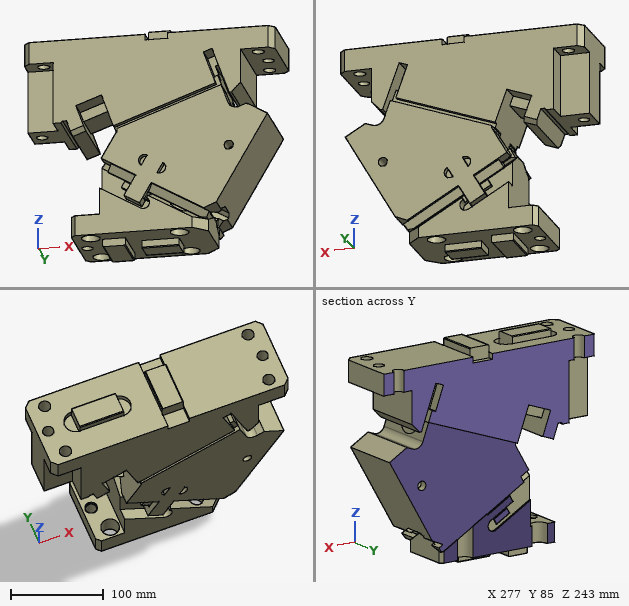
import cadquery as cq
import math


WIDTH = 85.0
HALF_WIDTH = WIDTH / 2
OVERSIZE = 400.0

KEY_WIDTH = 25.0
KEY_LENGTH = 50.0
KEY_HEIGHT = 8.5
KEY_BEVEL = 1.0

HOUSING_LENGTH = 277.0
HOUSING_TOP = 226.0
FLANGE_THICKNESS = 25.0
FLANGE_BOTTOM = HOUSING_TOP - FLANGE_THICKNESS
FLANGE_CHAMFER = 6.5
HOUSING_BOTTOM = 131.0
LEG_DEPTH = 33.0
LEG_WIDTH = 36.0
BODY_END_X = 240.0
BODY_END_Z = 163.0
NOSE_RIGHT_X = 230.0
NOSE_BOTTOM = 152.6
CROSS_KEY_X = 147.0
LONG_KEY_X = 69.5
LONG_KEY_LENGTH = 51.0
KEY_SEAT_DEPTH = 6.5
KEY_SEAT_LENGTH = 76.5
BOLT_SPACING = 60.0
HOUSING_BOLT_DIAMETER = 13.0
DOWEL_DIAMETER = 12.0
HOUSING_BOLT_X = (20.0, HOUSING_LENGTH - 20.0)
HOUSING_DOWEL_X = (12.0, HOUSING_LENGTH - 15.0)

SLIDE_ANGLE = 20.0
SLIDE_ORIGIN = (101.0, 0, 119.0)
SLIDE_LENGTH = 125.0
SIDE_RELIEF_DEPTH = 5.5
SIDE_RELIEF_HEIGHT = 4.5
SIDE_RELIEF_END = 5.0
SLOT_CORE_HALF = 20.0
SLOT_END_U = SLIDE_LENGTH + 5.0
SLOT_TOP_W = 32.0
FLANK_SLOT_TOP_W = 43.3
WALL_STEP_W = 14.0
HOOK_INNER_U = -30.0
HOOK_OUTER_U = -45.5
HOOK_BOTTOM_W = 13.5
HOOK_CHAMFER = 5.0
HOOK_RELIEF_WIDTH = 6.0
HOOK_RELIEF_HEIGHT = 2.0
RAIL_RADIUS = 17.0
RAIL_W = -2.3

RAMP_ANGLE = 30.0
RAMP_ORIGIN = (86.0, 0, 87.0)
ROOF_FLAT_HALF = 10.0
ROOF_RIDGE_N = 4.2
ROOF_SLOPE = math.tan(math.radians(30))

CAM_LENGTH = 140.0
CAM_TOP_N = 125.0
CAM_LEFT_TOP_N = 34.5
CAM_NOTCH_W = -31.5
CAM_NOTCH_RADIUS = 10.0
CAM_TAIL_START = (131.0, 0.0)
CAM_TAIL_N = 12.0
CAM_LIP = 2.5
V_RELIEF = 6.5
GROOVE_LIFT = 14.0
GROOVE_BOTTOM = (13.2, 7.5)
GROOVE_TOP = (16.5, 14.7)
PAD_START_S = 12.0
PAD_END_S = 137.0
PAD_DEPTH = 9.0
PAD_BOTTOM_HALF = 35.0
PAD_TOP_HALF = 39.5
PAD_END_CHAMFER = (7.0, 2.5)
STRAP_START_S = 44.0
STRAP_WIDTH = 20.0
STRAP_END_N = -26.0
STRAP_THICKNESS = 6.5
STRAP_FOOT_DEPTH = 12.5
STRAP_FOOT_TOP_N = -18.5
STRAP_SEAT_N = 19.0
STRAP_SEAT_RADIUS = 6.3
TAPPED_HOLE_X = 227.0
TAPPED_HOLE_Z = 92.0
TAPPED_HOLE_DIAMETER = 10.0
TAPPED_HOLE_DEPTH = 20.0

BASE_LEFT = 52.0
BASE_RIGHT = 201.6
BLOCK_LEFT = 84.0
FOOT_HEIGHT = 23.0
FOOT_CHAMFER = 5.0
BASE_END_CHAMFER = 15.0
BASE_CROSS_KEY_X = BLOCK_LEFT + KEY_WIDTH / 2
BASE_LONG_KEY_X = 145.3
BASE_LONG_KEY_LENGTH = 41.0
BASE_BOLT_DIAMETER = 20.0
BASE_BOLT_X = (72.0, 170.0)
BASE_DOWEL_X = 62.0
DOWEL_RECESS_DIAMETER = 13.3
DOWEL_RECESS_DEPTH = 3.0
POCKET_HALF = 29.4
POCKET_FLOOR_N = -30.5
POCKET_END_S = 68.0
POCKET_END_RADIUS = 6.5
LUG_HALF = 34.5
LUG_START_S = 34.0
LUG_BOTTOM_N = -17.5


def slide_plane(y=0.0):
    """Plane at the given Y whose local axes are U and W; its normal is -Y."""
    angle = math.radians(SLIDE_ANGLE)
    origin = (SLIDE_ORIGIN[0], y, SLIDE_ORIGIN[2])
    return cq.Plane(origin, (math.cos(angle), 0, math.sin(angle)), (0, -1, 0))


def ramp_plane(y=0.0):
    """Plane at the given Y whose local axes are S and N; its normal is -Y."""
    angle = math.radians(RAMP_ANGLE)
    origin = (RAMP_ORIGIN[0], y, RAMP_ORIGIN[2])
    return cq.Plane(origin, (math.cos(angle), 0, -math.sin(angle)), (0, -1, 0))


def in_xz(plane, point):
    """X and Z of a point given in a plane's local axes."""
    world = plane.toWorldCoords(point)
    return (world.x, world.z)


def prism(plane, points, width=WIDTH):
    """Polygon extruded to the given width, centred on Y = 0."""
    return cq.Workplane(plane).polyline(points).close().extrude(width / 2, both=True)


def corners(left, bottom, right, top):
    return [(left, bottom), (right, bottom), (right, top), (left, top)]


def both_flanks(shape):
    """The shape together with its mirror image across the symmetry plane."""
    return shape.union(shape.mirror("XZ"))


def flank_prism(plane_at, points, inner_y):
    """Polygon extruded on both flanks, from inner_y out to the part's sides."""
    depth = HALF_WIDTH - inner_y
    return both_flanks(cq.Workplane(plane_at(-inner_y)).polyline(points).close().extrude(depth))


def key(length_x, length_y, center_x, bottom, height, outer_face):
    """Locating key with the long edges of its outer face bevelled."""
    block = cq.Workplane("XY", origin=(center_x, 0, bottom)).rect(length_x, length_y).extrude(height)
    long_edges = "|X" if length_x > length_y else "|Y"
    return block.faces(outer_face).edges(long_edges).chamfer(KEY_BEVEL)


def vertical_holes(diameter, points):
    drill = cq.Workplane("XY").pushPoints(points).circle(diameter / 2)
    return drill.extrude(OVERSIZE, both=True)


def bolt_points(x_places):
    return [(x, side * BOLT_SPACING / 2) for x in x_places for side in (-1, 1)]


def slide_rail(start_u, end_u):
    """Round rail along the slide, centred a little below the joint."""
    start = slide_plane().toWorldCoords((start_u, RAIL_W))
    section = cq.Plane(start, (0, 1, 0), slide_plane().xDir)
    return cq.Workplane(section).circle(RAIL_RADIUS).extrude(end_u - start_u)


def roof_prism(lift, start_s, end_s):
    """Roof-shaped solid lying along the ramp, raised by the given lift."""
    start = ramp_plane().toWorldCoords((start_s, 0))
    section = cq.Plane(start, (0, 1, 0), ramp_plane().xDir)
    ridge = ROOF_RIDGE_N + lift
    eave_half = HALF_WIDTH + V_RELIEF
    eave = ridge - ROOF_SLOPE * (eave_half - ROOF_FLAT_HALF)
    points = [
        (-eave_half, -OVERSIZE),
        (eave_half, -OVERSIZE),
        (eave_half, eave),
        (ROOF_FLAT_HALF, ridge),
        (-ROOF_FLAT_HALF, ridge),
        (-eave_half, eave),
    ]
    return cq.Workplane(section).polyline(points).close().extrude(end_s - start_s)


def make_housing():
    slide = slide_plane()
    flange = (
        cq.Workplane("XY", origin=(HOUSING_LENGTH / 2, 0, FLANGE_BOTTOM))
        .rect(HOUSING_LENGTH, WIDTH)
        .extrude(FLANGE_THICKNESS)
        .edges("|Z")
        .chamfer(FLANGE_CHAMFER)
    )
    leg = cq.Workplane("XY").box(
        LEG_DEPTH, LEG_WIDTH, FLANGE_BOTTOM - HOUSING_BOTTOM, centered=(False, True, False)
    ).translate((0, 0, HOUSING_BOTTOM))

    slide_tan = math.tan(math.radians(SLIDE_ANGLE))
    hook_root = in_xz(slide, (HOOK_OUTER_U, 0))
    hook_root_z = HOUSING_BOTTOM + HOOK_RELIEF_HEIGHT
    hook_root_x = hook_root[0] - (hook_root_z - hook_root[1]) * slide_tan
    relief_left_x = hook_root_x - HOOK_RELIEF_WIDTH
    nose_root = in_xz(slide, (SLOT_END_U, 0))
    nose_left_x = nose_root[0] - (NOSE_BOTTOM - nose_root[1]) * slide_tan
    outline = [
        (LEG_DEPTH, FLANGE_BOTTOM),
        (LEG_DEPTH, HOUSING_BOTTOM),
        (relief_left_x, HOUSING_BOTTOM),
        (relief_left_x + HOOK_RELIEF_HEIGHT, hook_root_z),
        (hook_root_x, hook_root_z),
        in_xz(slide, (HOOK_OUTER_U, HOOK_BOTTOM_W)),
        in_xz(slide, (HOOK_INNER_U, HOOK_BOTTOM_W)),
        in_xz(slide, (HOOK_INNER_U, SLOT_TOP_W)),
        in_xz(slide, (0, SLOT_TOP_W)),
        in_xz(slide, (0, 0)),
        in_xz(slide, (SLIDE_LENGTH, 0)),
        in_xz(slide, (SLIDE_LENGTH, SLOT_TOP_W)),
        in_xz(slide, (SLOT_END_U, SLOT_TOP_W)),
        (nose_left_x, NOSE_BOTTOM),
        (NOSE_RIGHT_X, NOSE_BOTTOM),
        (BODY_END_X, BODY_END_Z),
        (BODY_END_X, FLANGE_BOTTOM),
    ]
    housing = flange.union(leg).union(prism("XZ", outline))

    relief_end = SLIDE_LENGTH - SIDE_RELIEF_END
    joint_relief = corners(0, 0, SLIDE_LENGTH, SIDE_RELIEF_HEIGHT)
    lower_wall = corners(relief_end, 0, SLIDE_LENGTH, WALL_STEP_W)
    upper_wall = corners(relief_end, WALL_STEP_W, SLIDE_LENGTH, FLANK_SLOT_TOP_W)
    right_slot_end = corners(SLIDE_LENGTH, SLOT_TOP_W, SLOT_END_U, FLANK_SLOT_TOP_W)
    left_slot_end = corners(HOOK_INNER_U, SLOT_TOP_W, 0, FLANK_SLOT_TOP_W)
    for relief in (joint_relief, lower_wall):
        housing = housing.cut(flank_prism(slide_plane, relief, HALF_WIDTH - SIDE_RELIEF_DEPTH))
    for slot_relief in (upper_wall, right_slot_end, left_slot_end):
        housing = housing.cut(flank_prism(slide_plane, slot_relief, SLOT_CORE_HALF))

    hook_corner = slide.toWorldCoords((HOOK_OUTER_U, HOOK_BOTTOM_W))
    hook_section = cq.Plane(hook_corner, (0, 1, 0), slide.xDir)
    hook_bevel = (
        cq.Workplane(hook_section)
        .moveTo(HALF_WIDTH - HOOK_CHAMFER, 0)
        .lineTo(HALF_WIDTH, 0)
        .lineTo(HALF_WIDTH, HOOK_CHAMFER)
        .close()
        .extrude(HOOK_INNER_U - HOOK_OUTER_U)
    )
    housing = housing.cut(both_flanks(hook_bevel)).union(slide_rail(0, SLIDE_LENGTH))

    seat_bottom = HOUSING_TOP - KEY_SEAT_DEPTH
    cross_seat = cq.Workplane("XY", origin=(CROSS_KEY_X, 0, seat_bottom)).rect(KEY_WIDTH, WIDTH)
    long_seat = cq.Workplane("XY", origin=(LONG_KEY_X, 0, seat_bottom)).slot2D(KEY_SEAT_LENGTH, KEY_WIDTH)
    for seat in (cross_seat, long_seat):
        housing = housing.cut(seat.extrude(KEY_SEAT_DEPTH))
    key_height = KEY_SEAT_DEPTH + KEY_HEIGHT
    housing = housing.union(key(KEY_WIDTH, KEY_LENGTH, CROSS_KEY_X, seat_bottom, key_height, ">Z"))
    housing = housing.union(key(LONG_KEY_LENGTH, KEY_WIDTH, LONG_KEY_X, seat_bottom, key_height, ">Z"))

    housing = housing.cut(vertical_holes(HOUSING_BOLT_DIAMETER, bolt_points(HOUSING_BOLT_X)))
    return housing.cut(vertical_holes(DOWEL_DIAMETER, [(x, 0) for x in HOUSING_DOWEL_X]))


def make_cam():
    slide = slide_plane()
    ramp = ramp_plane()

    notch_corner = ramp.toLocalCoords(slide.toWorldCoords((SLIDE_LENGTH, CAM_NOTCH_W)))
    rise = math.radians(SLIDE_ANGLE + RAMP_ANGLE)
    notch_end_s = notch_corner.x + (CAM_TOP_N - notch_corner.y) / math.tan(rise)
    outline = [
        in_xz(ramp, (0, 0)),
        in_xz(ramp, (0, CAM_LEFT_TOP_N)),
        in_xz(slide, (CAM_LIP, 0)),
        in_xz(slide, (SLIDE_LENGTH, 0)),
        in_xz(slide, (SLIDE_LENGTH, CAM_NOTCH_W)),
        in_xz(ramp, (notch_end_s, CAM_TOP_N)),
        in_xz(ramp, (CAM_LENGTH, CAM_TOP_N)),
        in_xz(ramp, (CAM_LENGTH, CAM_TAIL_N)),
        in_xz(ramp, CAM_TAIL_START),
    ]
    notch_x, notch_z = outline[4]
    notch_box = cq.selectors.BoxSelector((notch_x - 1, -1, notch_z - 1), (notch_x + 1, 1, notch_z + 1))
    cam = prism("XZ", outline).edges(notch_box).fillet(CAM_NOTCH_RADIUS)
    cam = cam.cut(roof_prism(V_RELIEF, -PAD_START_S, CAM_LENGTH + PAD_START_S))

    chamfer_s, chamfer_n = PAD_END_CHAMFER
    pad_side = [
        (PAD_START_S, -PAD_DEPTH),
        (PAD_END_S - chamfer_s, -PAD_DEPTH),
        (PAD_END_S, chamfer_n - PAD_DEPTH),
        (PAD_END_S, 0),
        (CAM_TAIL_START[0], 0),
        (CAM_TAIL_START[0], V_RELIEF + ROOF_RIDGE_N),
        (PAD_START_S, V_RELIEF + ROOF_RIDGE_N),
    ]
    pad_section = [
        (-PAD_BOTTOM_HALF, -PAD_DEPTH),
        (PAD_BOTTOM_HALF, -PAD_DEPTH),
        (PAD_TOP_HALF, 0),
        (PAD_TOP_HALF, V_RELIEF + ROOF_RIDGE_N),
        (-PAD_TOP_HALF, V_RELIEF + ROOF_RIDGE_N),
        (-PAD_TOP_HALF, 0),
    ]
    section_plane = cq.Plane(RAMP_ORIGIN, (0, 1, 0), ramp.xDir)
    pad = cq.Workplane(section_plane).polyline(pad_section).close().extrude(CAM_LENGTH)
    pad = pad.intersect(prism(ramp, pad_side)).cut(roof_prism(0, 0, CAM_LENGTH))
    cam = cam.union(pad)

    half_bottom, bottom_n = GROOVE_BOTTOM
    half_top, top_n = GROOVE_TOP
    groove_section = [
        (-half_bottom, 0),
        (half_bottom, 0),
        (half_bottom, bottom_n),
        (half_top, top_n),
        (half_top, CAM_LEFT_TOP_N),
        (-half_top, CAM_LEFT_TOP_N),
        (-half_top, top_n),
        (-half_bottom, bottom_n),
    ]
    groove = cq.Workplane(section_plane).polyline(groove_section).close().extrude(CAM_LENGTH)
    cam = cam.cut(groove.intersect(roof_prism(GROOVE_LIFT, 0, CAM_LENGTH)))

    cam = cam.cut(slide_rail(-SLIDE_LENGTH, 2 * SLIDE_LENGTH))

    strap_inner_y = HALF_WIDTH - STRAP_THICKNESS
    strap_end_s = STRAP_START_S + STRAP_WIDTH
    seat_ends = [(s, STRAP_SEAT_N) for s in (STRAP_START_S, strap_end_s)]
    seats = cq.Workplane(ramp_plane(-strap_inner_y)).pushPoints(seat_ends)
    cam = cam.cut(both_flanks(seats.circle(STRAP_SEAT_RADIUS).extrude(STRAP_THICKNESS)))
    strap = corners(STRAP_START_S, STRAP_END_N, strap_end_s, STRAP_SEAT_N + STRAP_SEAT_RADIUS)
    foot = corners(STRAP_START_S, STRAP_END_N, strap_end_s, STRAP_FOOT_TOP_N)
    cam = cam.union(flank_prism(ramp_plane, strap, strap_inner_y))
    cam = cam.union(flank_prism(ramp_plane, foot, HALF_WIDTH - STRAP_FOOT_DEPTH))

    radius = TAPPED_HOLE_DIAMETER / 2
    drill = (
        cq.Workplane("XY")
        .polyline([
            (TAPPED_HOLE_X, -HALF_WIDTH),
            (TAPPED_HOLE_X + radius, -HALF_WIDTH),
            (TAPPED_HOLE_X + radius, TAPPED_HOLE_DEPTH - HALF_WIDTH),
            (TAPPED_HOLE_X, TAPPED_HOLE_DEPTH + radius - HALF_WIDTH),
        ])
        .close()
        .revolve(360, (TAPPED_HOLE_X, 0, 0), (TAPPED_HOLE_X, 1, 0))
        .translate((0, 0, TAPPED_HOLE_Z))
    )
    return cam.cut(both_flanks(drill))


def make_base():
    foot_length = BLOCK_LEFT - BASE_LEFT
    foot = cq.Workplane("XY", origin=(BASE_LEFT, 0, 0)).box(
        foot_length, WIDTH, FOOT_HEIGHT, centered=(False, True, False)
    ).edges("|Z and <X").chamfer(FOOT_CHAMFER)
    block = cq.Workplane("XY", origin=(BLOCK_LEFT, 0, 0)).box(
        BASE_RIGHT - BLOCK_LEFT, WIDTH, HOUSING_BOTTOM, centered=(False, True, False)
    ).edges("|Z and >X").chamfer(BASE_END_CHAMFER)
    block = block.intersect(roof_prism(0, -OVERSIZE, OVERSIZE))

    pocket = corners(-OVERSIZE, POCKET_FLOOR_N, POCKET_END_S, 0)
    lug = corners(LUG_START_S, LUG_BOTTOM_N, POCKET_END_S, -PAD_DEPTH)
    lugs = prism(ramp_plane(), lug, 2 * LUG_HALF)
    block = block.cut(flank_prism(ramp_plane, pocket, POCKET_HALF).cut(lugs))
    end_round = (
        cq.Workplane(ramp_plane(-POCKET_HALF))
        .center(POCKET_END_S, POCKET_FLOOR_N + POCKET_END_RADIUS)
        .circle(POCKET_END_RADIUS)
        .extrude(HALF_WIDTH - POCKET_HALF)
    )
    block = block.cut(both_flanks(end_round))

    base = foot.union(block)
    base = base.cut(vertical_holes(BASE_BOLT_DIAMETER, bolt_points(BASE_BOLT_X)))
    base = base.cut(vertical_holes(DOWEL_DIAMETER, [(BASE_DOWEL_X, 0)]))
    dowel_recess = cq.Workplane("XY", origin=(BASE_DOWEL_X, 0, FOOT_HEIGHT - DOWEL_RECESS_DEPTH))
    base = base.cut(dowel_recess.circle(DOWEL_RECESS_DIAMETER / 2).extrude(DOWEL_RECESS_DEPTH))

    base = base.union(key(KEY_WIDTH, KEY_LENGTH, BASE_CROSS_KEY_X, -KEY_HEIGHT, KEY_HEIGHT, "<Z"))
    return base.union(key(BASE_LONG_KEY_LENGTH, KEY_WIDTH, BASE_LONG_KEY_X, -KEY_HEIGHT, KEY_HEIGHT, "<Z"))


housing = make_housing()
cam = make_cam()
base = make_base()

result = cq.Compound.makeCompound([housing.solids().val(), cam.solids().val(), base.solids().val()])